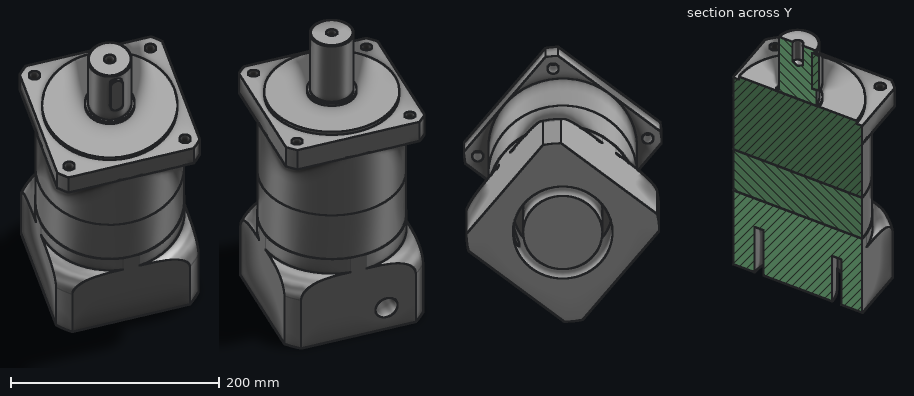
import cadquery as cq
import math

TOTAL_HEIGHT = 314.0
SQUARE = 143.0
HALF_SQUARE = SQUARE / 2

CORNER_TOP_Z = 58.0
BLOCK_TOP_Z = 95.5
RING_TOP_Z = 148.0
FLANGE_BOTTOM_Z = 216.7
FLANGE_TOP_Z = 240.0
PILOT_TOP_Z = 243.7
COLLAR_TOP_Z = 246.5

BLOCK_CORNER_RADIUS = 92.5
NECK_RADIUS = 72.0
SHOULDER_RADIUS = 20.0
SHOULDER_TOP_Z = CORNER_TOP_Z + SHOULDER_RADIUS
BORE_RADIUS = 47.7
BORE_TOP_Z = CORNER_TOP_Z
HUB_RADIUS = 38.0
ACCESS_RADIUS = 11.3
ACCESS_Y = -29.0
ACCESS_Z = 25.5

FLANGE_CORNER_RADIUS = 95.0
PILOT_RADIUS = 65.0
MOUNT_HOLE_RADIUS = 5.3
MOUNT_HOLE_OFFSET = 58.0

SHAFT_RADIUS = 21.0
COLLAR_RADIUS = 24.0
SHAFT_CHAMFER = 1.0
CENTRE_HOLE_RADIUS = 5.3
CENTRE_HOLE_DEPTH = 25.0
DRILL_TIP_ANGLE = 118.0

KEY_WIDTH = 12.0
KEY_BOTTOM_Z = 263.8
KEY_TOP_Z = 308.7
KEY_SEAT_X = 16.0
KEY_OUTER_X = 24.0


def cylinder(radius, bottom, top):
    return cq.Workplane("XY").workplane(offset=bottom).circle(radius).extrude(top - bottom)


def square_prism(bottom, top):
    return cq.Workplane("XY").workplane(offset=bottom).rect(SQUARE, SQUARE).extrude(top - bottom)


def make_block():
    profile = (
        cq.Workplane("XZ")
        .lineTo(BLOCK_CORNER_RADIUS, 0)
        .lineTo(BLOCK_CORNER_RADIUS, CORNER_TOP_Z)
        .radiusArc((BLOCK_CORNER_RADIUS - SHOULDER_RADIUS, SHOULDER_TOP_Z), -SHOULDER_RADIUS)
        .lineTo(NECK_RADIUS, SHOULDER_TOP_Z)
        .lineTo(NECK_RADIUS, BLOCK_TOP_Z)
        .lineTo(0, BLOCK_TOP_Z)
        .close()
    )
    block = profile.revolve(360, (0, 0, 0), (0, 1, 0)).intersect(square_prism(0, BLOCK_TOP_Z))
    access = (
        cq.Workplane("YZ")
        .workplane(offset=-HALF_SQUARE)
        .center(ACCESS_Y, ACCESS_Z)
        .circle(ACCESS_RADIUS)
        .extrude(HALF_SQUARE)
    )
    bore = cylinder(BORE_RADIUS, 0, BORE_TOP_Z)
    hub = cylinder(HUB_RADIUS, 0, BORE_TOP_Z)
    return block.cut(access).cut(bore).union(hub)


def make_ring():
    return cylinder(HALF_SQUARE, BLOCK_TOP_Z, RING_TOP_Z)


def make_housing():
    body = cylinder(HALF_SQUARE, RING_TOP_Z, FLANGE_BOTTOM_Z)
    flange = cylinder(FLANGE_CORNER_RADIUS, FLANGE_BOTTOM_Z, FLANGE_TOP_Z)
    flange = flange.intersect(square_prism(FLANGE_BOTTOM_Z, FLANGE_TOP_Z))
    pilot = cylinder(PILOT_RADIUS, FLANGE_TOP_Z, PILOT_TOP_Z)
    holes = (
        cq.Workplane("XY")
        .workplane(offset=FLANGE_BOTTOM_Z)
        .rect(2 * MOUNT_HOLE_OFFSET, 2 * MOUNT_HOLE_OFFSET, forConstruction=True)
        .vertices()
        .circle(MOUNT_HOLE_RADIUS)
        .extrude(FLANGE_TOP_Z - FLANGE_BOTTOM_Z)
    )
    return body.union(flange.cut(holes)).union(pilot)


def make_key():
    return (
        cq.Workplane("YZ")
        .workplane(offset=KEY_SEAT_X)
        .center(0, (KEY_BOTTOM_Z + KEY_TOP_Z) / 2)
        .slot2D(KEY_TOP_Z - KEY_BOTTOM_Z, KEY_WIDTH, 90)
        .extrude(KEY_OUTER_X - KEY_SEAT_X)
    )


def make_shaft(key):
    shaft = cylinder(SHAFT_RADIUS, PILOT_TOP_Z, TOTAL_HEIGHT).faces(">Z").chamfer(SHAFT_CHAMFER)
    shaft = shaft.union(cylinder(COLLAR_RADIUS, PILOT_TOP_Z, COLLAR_TOP_Z))
    tip_length = CENTRE_HOLE_RADIUS / math.tan(math.radians(DRILL_TIP_ANGLE / 2))
    straight_end_z = TOTAL_HEIGHT - CENTRE_HOLE_DEPTH
    centre_hole = (
        cq.Workplane("XZ")
        .moveTo(0, TOTAL_HEIGHT)
        .lineTo(CENTRE_HOLE_RADIUS, TOTAL_HEIGHT)
        .lineTo(CENTRE_HOLE_RADIUS, straight_end_z)
        .lineTo(0, straight_end_z - tip_length)
        .close()
        .revolve(360, (0, 0, 0), (0, 1, 0))
    )
    return shaft.cut(centre_hole).cut(key)


block = make_block()
ring = make_ring()
housing = make_housing()
key = make_key()
shaft = make_shaft(key)

result = cq.Compound.makeCompound([block.val(), ring.val(), housing.val(), shaft.val(), key.val()])